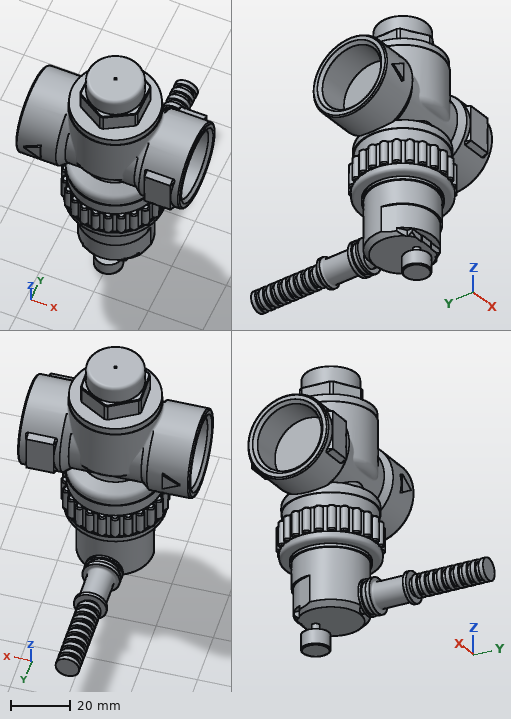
import cadquery as cq
import math


overall_depth = 79.2
overall_height = 100.8

pipe_length = 60.0
socket_radius = 15.5
socket_inner_end = 15.2
socket_edge_chamfer = 0.5
waist_radius = 13.5
waist_half_length = 12.7
bore_radius = 12.3
bore_mouth_radius = 13.5
bore_mouth_depth = 1.2
bore_depth = 13.3

pad_x = 22.1
pad_length = 11.1
pad_height = 15.7
pad_face_y = 15.6
pad_depth = 2.5
pad_edge_slope = 0.8
pad_draft_angle = 22
arrow_tip_x = -26.8
arrow_base_x = -20.8
arrow_half_height = 3.4
arrow_face_y = 16.0

body_radius = 15.9
body_bottom = -4.5
body_shoulder = 18.0
body_bottom_round = 3.0
body_seam_round = 0.7
collar_radius = 15.7
collar_top = 20.8
hex_across_flats = 21.2
hex_corner_radius = 11.9
hex_top = 27.6
hex_edge_chamfer = 0.3
cap_radius = 10.0
cap_top = 34.5
cap_edge_round = 1.3
pin_hole_radius = 0.4
pin_hole_depth = 1.0

bonnet_neck_radius = 11.2
bonnet_neck_top = -6.9
bonnet_neck_flare = (11.3, -8.9)
bonnet_cone_top_radius = 11.7
bonnet_cone_top = -10.2
bonnet_shoulder_radius = 15.5
bonnet_shoulder = -12.3
bonnet_shoulder_bulge = (16.4, -13.1)
bonnet_rim_radius = 16.8
bonnet_rim_top = -14.2
bonnet_rim_bottom = -16.4
bonnet_radius = 16.5
grip_radius = 16.9
grip_top = -21.6
grip_bottom = -30.9
rib_count = 24
rib_radius = 1.5
rib_end_chamfer = 0.5
grip_outer_radius = 18.3
ring_radius = 17.5
ring_top = -31.3
ring_bottom = -34.2
ring_round = 1.2
neck_radius = 13.9
neck_bottom = -35.3
cup_radius = 13.3
cup_bottom = -56.8
cup_chamfer = 1.9

recess_top = -44.8
recess_back_y = -0.8
recess_radius = 12.7
recess_half_width = 11.3
plate_top = -54.2
plate_front_y = -10.1
plate_half_width = 7.9
plate_tongue_half_width = 2.6
plate_tongue_step = 0.3

knob_y = -5.8
knob_radius = 5.0
knob_top = -60.5
knob_bottom = cap_top - overall_height
knob_chamfer = 0.4
stem_radius = 1.4

hose_z = -51.4
hose_end_y = overall_depth - grip_outer_radius
hose_core_radius = 3.2
hose_rib_radius = 4.1
hose_rib_count = 9
hose_rib_pitch = 3.2
hose_rib_width = 1.7
stop_radius = 5.7
stop_outer_y = 32.1
stop_inner_y = 30.8
sleeve_radius = 4.7
sleeve_end_round = 0.6
flange_radius = 6.6
flange_outer_y = 18.3
flange_inner_y = 16.9
flange_neck_radius = 5.7
clip_outer_y = 15.0
clip_inner_y = 14.1
spigot_radius = 3.0
spigot_z = -53.4


def disc(radius, z_low, z_high):
    """Vertical cylinder on the valve axis."""
    return cq.Workplane("XY").workplane(offset=z_low).circle(radius).extrude(z_high - z_low)


def hose_disc(radius, y_low, y_high, z=hose_z):
    """Cylinder running along Y at height z."""
    return cq.Workplane("XZ", origin=(0, y_high, z)).circle(radius).extrude(y_high - y_low)


def mirrored_pair(solid):
    """A solid together with its copy on the opposite Y side."""
    return solid.union(solid.mirror("XZ"))


def make_pipe():
    half = pipe_length / 2
    profile = [
        (-half, 0),
        (-half, socket_radius - socket_edge_chamfer),
        (-half + socket_edge_chamfer, socket_radius),
        (-socket_inner_end, socket_radius),
        (-waist_half_length, waist_radius),
        (waist_half_length, waist_radius),
        (socket_inner_end, socket_radius),
        (half - socket_edge_chamfer, socket_radius),
        (half, socket_radius - socket_edge_chamfer),
        (half, 0),
    ]
    return cq.Workplane("XY").polyline(profile).close().revolve(360, (0, 0, 0), (1, 0, 0))


def make_bores():
    """Equal blind bores with flared mouths, one in each end of the pipe."""
    mouth = -pipe_length / 2
    profile = [
        (mouth, 0),
        (mouth, bore_mouth_radius),
        (mouth + bore_mouth_depth, bore_radius),
        (mouth + bore_depth, bore_radius),
        (mouth + bore_depth, 0),
    ]
    bore = cq.Workplane("XY").polyline(profile).close().revolve(360, (0, 0, 0), (1, 0, 0))
    return bore.union(bore.mirror("YZ"))


def make_pads():
    pad = (
        cq.Workplane("XZ", origin=(pad_x, -pad_face_y, 0))
        .rect(pad_length - 2 * pad_edge_slope, pad_height - 2 * pad_edge_slope)
        .extrude(-pad_depth, taper=-pad_draft_angle)
    )
    return mirrored_pair(pad)


def make_arrows():
    outline = [
        (arrow_tip_x, 0),
        (arrow_base_x, arrow_half_height),
        (arrow_base_x, -arrow_half_height),
    ]
    arrow = (
        cq.Workplane("XZ", origin=(0, -arrow_face_y, 0))
        .polyline(outline)
        .close()
        .extrude(-(arrow_face_y - waist_radius))
    )
    return mirrored_pair(arrow)


def make_upper_body():
    body = disc(body_radius, body_bottom, body_shoulder)
    body = body.faces("<Z").edges().fillet(body_bottom_round)
    return body.union(disc(collar_radius, body_shoulder, collar_top))


def make_hexagon_and_cap():
    hex_diameter = hex_across_flats / math.cos(math.pi / 6)
    hexagon = (
        cq.Workplane("XY")
        .workplane(offset=collar_top)
        .polygon(6, hex_diameter)
        .extrude(hex_top - collar_top)
        .rotate((0, 0, 0), (0, 0, 1), 30)
    )
    hexagon = hexagon.intersect(disc(hex_corner_radius, collar_top, hex_top))
    hexagon = hexagon.faces(">Z").edges().chamfer(hex_edge_chamfer)
    cap = disc(cap_radius, hex_top, cap_top).faces(">Z").edges().fillet(cap_edge_round)
    return hexagon.union(cap).cut(disc(pin_hole_radius, cap_top - pin_hole_depth, cap_top))


def make_bonnet():
    return (
        cq.Workplane("XZ")
        .moveTo(0, bonnet_neck_top)
        .lineTo(bonnet_neck_radius, bonnet_neck_top)
        .threePointArc(bonnet_neck_flare, (bonnet_cone_top_radius, bonnet_cone_top))
        .lineTo(bonnet_shoulder_radius, bonnet_shoulder)
        .threePointArc(bonnet_shoulder_bulge, (bonnet_rim_radius, bonnet_rim_top))
        .lineTo(bonnet_rim_radius, bonnet_rim_bottom)
        .lineTo(bonnet_radius, bonnet_rim_bottom)
        .lineTo(bonnet_radius, grip_top)
        .lineTo(0, grip_top)
        .close()
        .revolve(360, (0, 0, 0), (0, 1, 0))
    )


def make_grip():
    grip = disc(grip_radius, ring_top, grip_top)
    rib = disc(rib_radius, grip_bottom, grip_top).edges("%CIRCLE").chamfer(rib_end_chamfer)
    rib = rib.translate((grip_outer_radius - rib_radius, 0, 0))
    for index in range(rib_count):
        grip = grip.union(rib.rotate((0, 0, 0), (0, 0, 1), index * 360 / rib_count))
    ring = disc(ring_radius, ring_bottom, ring_top).faces("<Z").edges().fillet(ring_round)
    neck = disc(neck_radius, neck_bottom, ring_bottom)
    return grip.union(ring).union(neck)


def make_front_block(outline_half, z_low, z_high):
    """Block in front of the cup axis whose outline is symmetric about X = 0."""
    other_half = [(-x, y) for x, y in reversed(outline_half)]
    return (
        cq.Workplane("XY", origin=(0, 0, z_low))
        .polyline(outline_half + other_half)
        .close()
        .extrude(z_high - z_low)
    )


def make_cup():
    cup = disc(cup_radius, cup_bottom, neck_bottom).faces("<Z").edges().chamfer(cup_chamfer)
    front_y = -cup_radius
    back_corner_x = math.sqrt(cup_radius**2 - recess_back_y**2)
    back_corner = (back_corner_x, recess_back_y)
    side_corner_y = -math.sqrt(recess_radius**2 - recess_half_width**2)
    side_corner = (recess_half_width, side_corner_y)
    removed = make_front_block(
        [(cup_radius, recess_back_y), (cup_radius, front_y)], cup_bottom, recess_top
    )
    wall = make_front_block(
        [back_corner, side_corner, (recess_half_width, front_y)], plate_top, recess_top
    )
    rounded = disc(recess_radius, plate_top, recess_top)
    flanks = make_front_block([back_corner, side_corner], plate_top, recess_top)
    wall = wall.intersect(rounded).union(flanks)
    plate = make_front_block(
        [
            back_corner,
            side_corner,
            (plate_half_width, -plate_half_width),
            (plate_half_width, plate_front_y + plate_tongue_step),
            (plate_tongue_half_width, plate_front_y + plate_tongue_step),
            (plate_tongue_half_width, plate_front_y),
        ],
        cup_bottom,
        plate_top,
    ).intersect(cup)
    return cup.cut(removed).union(wall).union(plate)


def make_knob():
    knob = disc(knob_radius, knob_bottom, knob_top).faces("<Z").edges().chamfer(knob_chamfer)
    stem = disc(stem_radius, knob_top, cup_bottom)
    return knob.union(stem).translate((0, knob_y, 0))


def make_hose_tail():
    sleeve = (
        hose_disc(sleeve_radius, flange_outer_y, stop_inner_y)
        .union(hose_disc(stop_radius, stop_inner_y, stop_outer_y))
        .union(hose_disc(flange_radius, flange_inner_y, flange_outer_y))
        .edges(cq.selectors.RadiusNthSelector(0))
        .fillet(sleeve_end_round)
    )
    hose = hose_disc(hose_core_radius, stop_outer_y, hose_end_y)
    for index in range(hose_rib_count):
        rib_end = hose_end_y - index * hose_rib_pitch
        hose = hose.union(hose_disc(hose_rib_radius, rib_end - hose_rib_width, rib_end))
    hose = hose.union(sleeve)
    hose = hose.union(hose_disc(flange_neck_radius, clip_outer_y, flange_inner_y))
    hose = hose.union(hose_disc(flange_radius, clip_inner_y, clip_outer_y))
    return hose.union(hose_disc(spigot_radius, 0, clip_inner_y, spigot_z))


def make_casting():
    """Pipe and upper body with a rounded seam, on top of the bonnet."""
    casting = make_pipe().union(make_upper_body())
    casting = casting.edges("not (%CIRCLE or %LINE)").fillet(body_seam_round)
    return casting.union(make_bonnet())


result = (
    make_casting()
    .cut(make_bores())
    .union(make_pads())
    .union(make_arrows())
    .union(make_hexagon_and_cap())
    .union(make_grip())
    .union(make_cup())
    .union(make_knob())
    .union(make_hose_tail())
)